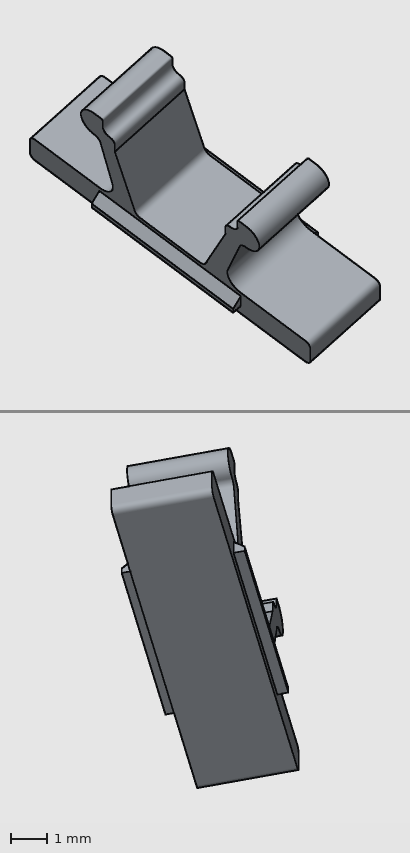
import cadquery as cq
import math

length = 10.5
total_depth = 3.5
total_height = 4.37
base_height = 1.0
base_corner_radius = 0.2

rail_projection = 0.32
rail_length = 5.29
rail_bottom = 0.37
rail_edge = 0.56
rail_top = 0.84
depth = total_depth - 2 * rail_projection

outer_root = 1.97
outer_neck = 2.66
inner_root = 1.27
inner_neck = 2.07
inner_neck_height = 3.27
outer_root_radius = 0.5
inner_root_radius = 0.22
neck_radius = 0.23

head_radius = 0.5
head_center = 2.84
head_bottom = total_height - 2 * head_radius
head_middle = total_height - head_radius
lip = 2.52
lip_radius = 0.06
notch_radius = 0.25
step_height = 3.78
step_radius = 0.19


def round_corner(body, x, z, radius):
    """Round the depthwise edge passing through (x, z)."""
    reach = 0.01
    near_corner = cq.selectors.BoxSelector(
        (x - reach, -depth, z - reach), (x + reach, depth, z + reach)
    )
    return body.edges("|Y").edges(near_corner).fillet(radius)


def make_base():
    base = cq.Workplane("XY").box(length, depth, base_height, centered=(True, True, False))
    return base.edges("|Y").fillet(base_corner_radius)


def make_right_leg():
    """Leg and head on the +X side, starting at the base underside."""
    notch_diagonal = notch_radius * math.sqrt(0.5)
    notch_center_x = lip - notch_radius
    notch_center_z = step_height + notch_radius
    outline = (
        cq.Workplane("XZ", origin=(0, depth / 2, 0))
        .moveTo(inner_root, 0)
        .lineTo(outer_root, 0)
        .lineTo(outer_root, base_height)
        .lineTo(outer_neck, head_bottom)
        .lineTo(head_center, head_bottom)
        .threePointArc((head_center + head_radius, head_middle), (head_center, total_height))
        .lineTo(lip, total_height)
        .lineTo(lip, notch_center_z)
        .threePointArc(
            (notch_center_x + notch_diagonal, notch_center_z - notch_diagonal),
            (notch_center_x, step_height),
        )
        .lineTo(inner_neck, step_height)
        .lineTo(inner_neck, inner_neck_height)
        .lineTo(inner_root, base_height)
        .close()
    )
    return outline.extrude(depth)


def make_rails():
    """Bevelled rails on both long sides, made as one profile through the base."""
    rim = total_depth / 2
    side = depth / 2
    return (
        cq.Workplane("YZ", origin=(-rail_length / 2, 0, 0))
        .polyline([
            (-rim, rail_bottom),
            (rim, rail_bottom),
            (rim, rail_edge),
            (side, rail_top),
            (-side, rail_top),
            (-rim, rail_edge),
        ])
        .close()
        .extrude(rail_length)
    )


right_leg = make_right_leg()
clip = make_base().union(right_leg).union(right_leg.mirror("YZ"))

rounded_corners = [
    (outer_root, base_height, outer_root_radius),
    (inner_root, base_height, inner_root_radius),
    (outer_neck, head_bottom, neck_radius),
    (lip, total_height, lip_radius),
    (inner_neck, step_height, step_radius),
]
for side_sign in (-1, 1):
    for corner_x, corner_z, corner_radius in rounded_corners:
        clip = round_corner(clip, side_sign * corner_x, corner_z, corner_radius)

result = clip.union(make_rails())